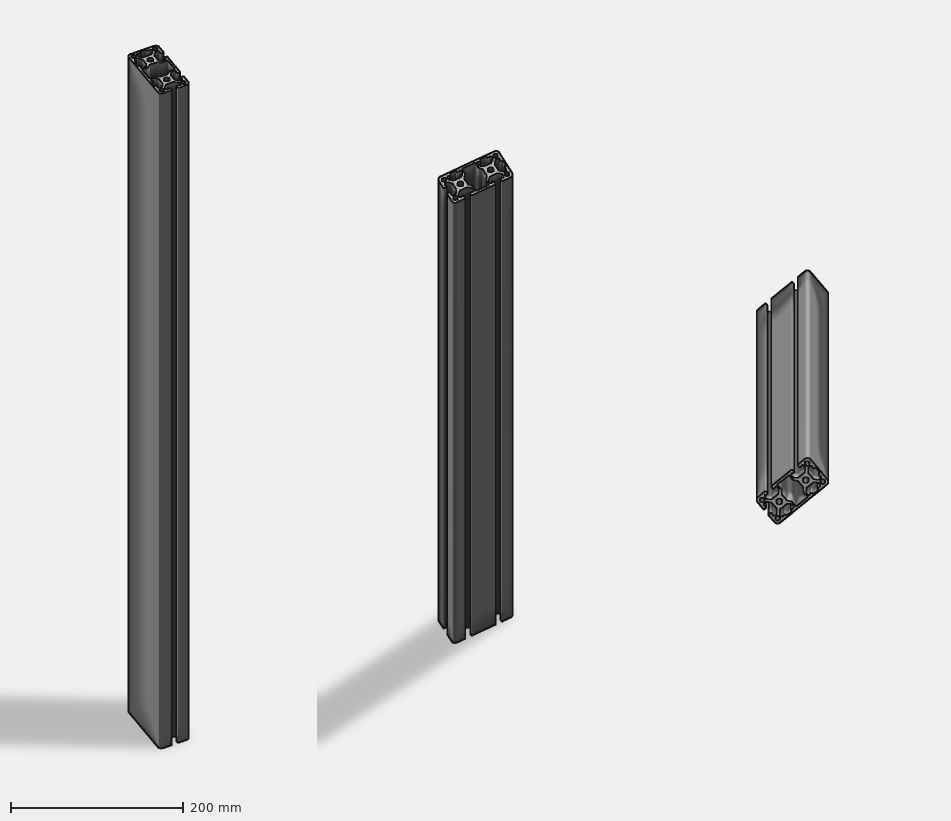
import cadquery as cq
import math

WIDTH = 80.0
DEPTH = 40.0
LENGTH = 1000.0
CORNER_RADIUS = 4.5

MODULE = 40.0
MOUTH_HALF = 4.0
MOUTH_EDGE_RADIUS = 0.6
LIP_DEPTH = 4.5
LIP_OUTER_DEPTH = 3.4
LIP_RADIUS = 1.0
SLOT_HALF = 9.35
SLOT_CORNER_RADIUS = 1.35
SLOT_SIDE_DEPTH = 8.3
SLOT_SIDE_RADIUS = 1.9
FLOOR_HALF = 5.0
SLOT_DEPTH = 12.25
FLOOR_RADIUS = 2.5

SKIN = 1.5
SKIN_CORNER_RADIUS = 0.8

CORE_BORE = 6.8

CHAMBER_WALL = 3.0
CHAMBER_END_HALF = 8.8
CHAMBER_SHOULDER_Y = 9.3
CHAMBER_MID_HALF = 12.35
CHAMBER_FLAT_Y = 5.0
CHAMBER_END_RADIUS = 0.5
CHAMBER_SHOULDER_RADIUS = 2.8
CHAMBER_MID_RADIUS = 2.5

HOLLOW_SIZE = 5.25
HOLLOW_WALL = 3.3
HOLLOW_RADIUS = 2.0

CORE_X = MODULE / 2


def corner_arc(before, corner, after, radius):
    """Start, middle and end of the arc that rounds a corner of an outline."""
    x, y = corner
    to_before = math.atan2(before[1] - y, before[0] - x)
    to_after = math.atan2(after[1] - y, after[0] - x)
    half_angle = math.remainder(to_after - to_before, 2 * math.pi) / 2
    tangent = radius / abs(math.tan(half_angle))
    to_middle = radius / abs(math.sin(half_angle)) - radius

    def along(angle, distance):
        return (x + distance * math.cos(angle), y + distance * math.sin(angle))

    return along(to_before, tangent), along(to_before + half_angle, to_middle), along(to_after, tangent)


def rounded_prism(corners):
    """Full-length prism; each corner of its outline is (x, y, rounding radius)."""
    points = [(x, y) for x, y, _ in corners]
    outline = cq.Workplane("XY")
    for i, (x, y, radius) in enumerate(corners):
        if radius > 0:
            following = points[(i + 1) % len(points)]
            start, middle, end = corner_arc(points[i - 1], (x, y), following, radius)
        else:
            start = (x, y)
        outline = outline.moveTo(*start) if i == 0 else outline.lineTo(*start)
        if radius > 0:
            outline = outline.threePointArc(middle, end)
    return outline.close().extrude(LENGTH)


def mirrored_in_x(corners):
    """The corners of a right half followed by those of its mirrored left half."""
    return corners + [(-x, y, radius) for x, y, radius in reversed(corners)]


def slot(mouth_corners):
    """Void of a T-slot entered at y = 0 and running toward -Y."""
    inner_corners = [
        (MOUTH_HALF, -LIP_DEPTH, LIP_RADIUS),
        (SLOT_HALF, -LIP_OUTER_DEPTH, SLOT_CORNER_RADIUS),
        (SLOT_HALF, -SLOT_SIDE_DEPTH, SLOT_SIDE_RADIUS),
        (FLOOR_HALF, -SLOT_DEPTH, FLOOR_RADIUS),
    ]
    return rounded_prism(mirrored_in_x(mouth_corners + inner_corners))


def open_slot():
    reach = MOUTH_HALF + 2 * MOUTH_EDGE_RADIUS
    return slot([(reach, 0, 0), (MOUTH_HALF, 0, MOUTH_EDGE_RADIUS)])


def closed_slot():
    return slot([(MOUTH_HALF, -SKIN, SKIN_CORNER_RADIUS)])


def on_module_side(slot_void, core_x, angle):
    """Place a slot on the module side at the given angle, counter-clockwise from +Y."""
    at_side = slot_void.translate((0, MODULE / 2, 0))
    return at_side.rotate((0, 0, 0), (0, 0, 1), angle).translate((core_x, 0, 0))


def core_bores():
    return cq.Workplane("XY").pushPoints([(-CORE_X, 0), (CORE_X, 0)]).circle(CORE_BORE / 2).extrude(LENGTH)


def central_chamber():
    upper = mirrored_in_x(
        [
            (CHAMBER_MID_HALF, CHAMBER_FLAT_Y, CHAMBER_MID_RADIUS),
            (CHAMBER_END_HALF, CHAMBER_SHOULDER_Y, CHAMBER_SHOULDER_RADIUS),
            (CHAMBER_END_HALF, DEPTH / 2 - CHAMBER_WALL, CHAMBER_END_RADIUS),
        ]
    )
    lower = [(x, -y, radius) for x, y, radius in reversed(upper)]
    return rounded_prism(upper + lower)


def corner_hollows():
    inset = HOLLOW_WALL + HOLLOW_SIZE / 2
    hollows = (
        cq.Workplane("XY")
        .rect(WIDTH - 2 * inset, DEPTH - 2 * inset, forConstruction=True)
        .vertices()
        .rect(HOLLOW_SIZE, HOLLOW_SIZE)
        .extrude(LENGTH)
    )
    return hollows.edges("|Z").fillet(HOLLOW_RADIUS)


profile = cq.Workplane("XY").rect(WIDTH, DEPTH).extrude(LENGTH)
profile = profile.edges("|Z").fillet(CORNER_RADIUS)

for core_x, angle in [(-CORE_X, 0), (CORE_X, 0), (CORE_X, -90)]:
    profile = profile.cut(on_module_side(open_slot(), core_x, angle))

for core_x, angle in [(-CORE_X, 180), (CORE_X, 180), (-CORE_X, 90)]:
    profile = profile.cut(on_module_side(closed_slot(), core_x, angle))

profile = profile.cut(core_bores())
profile = profile.cut(central_chamber())
result = profile.cut(corner_hollows())